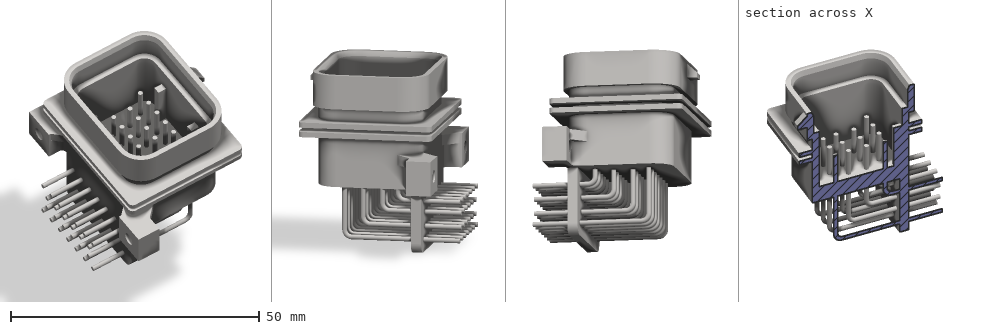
import cadquery as cq


shroud_x = 29.0
shroud_y = 23.8
shroud_radius = 5.45
shroud_top = 23.03
shroud_bottom = 16.1

housing_inset = 1.2

mouth_inset = 1.05
mouth_chamfer_width = 0.47
mouth_chamfer_depth = 1.05
ledge_z = 17.65
cavity_inset = 2.75
cavity_floor_z = 3.8

flange_x = 32.43
flange_y = 27.3
flange_radius = 1.05
flange_thickness = 1.05
flange_bottoms = (10.5, 12.45)

latch_width = 3.12
latch_tip_y = 13.95
latch_bottom = 19.47
latch_tip_top = 20.5
latch_root_top = 22.35

keys = ((-5.92, 1.5, 1), (5.92, 1.5, 1), (0, 1.65, -1))
key_inner_y = 7.3
key_top = 13.35

ear_outer_x = 19.75
ear_inner_x = 12.65
ear_front_y = -14.25
ear_back_y = -9.25
ear_height = 7.05
ear_front_fillet = 1.0
ear_back_fillet = 1.58
ear_hole_diameter = 2.6
ear_hole_z = ear_height / 2
gusset_leg = 3.0
gusset_height = 2.1

plate_width = 23.03
plate_thickness = 2.15
plate_bottom = -13.45
plate_radius = 2.05

pin_diameter = 1.0
pin_pitch = 3.0
outer_pin_top = 10.55
inner_pin_top = 9.55
pin_end_y = -18.2
pin_bend_radius = 1.5
pin_rows = (
    (-5.5, -3.0, outer_pin_top, 7),
    (-1.98, -5.5, inner_pin_top, 6),
    (1.98, -8.4, inner_pin_top, 6),
    (5.5, -10.9, outer_pin_top, 7),
)

root_depth = 0.4

housing_half_x = shroud_x / 2 - housing_inset
housing_front_y = -(shroud_y / 2 - housing_inset)
cavity_half_y = shroud_y / 2 - cavity_inset


def block(x_range, y_range, z_range):
    """Box given by its limits along each axis."""
    size = [high - low for low, high in (x_range, y_range, z_range)]
    corner = (x_range[0], y_range[0], z_range[0])
    return cq.Workplane("XY").box(*size, centered=False).translate(corner)


def rounded_block(size_x, size_y, radius, bottom, top):
    """Centred block with rounded vertical edges."""
    solid = cq.Workplane("XY").workplane(offset=bottom).rect(size_x, size_y).extrude(top - bottom)
    return solid.edges("|Z").fillet(radius)


def shroud_offset_block(inset, bottom, top):
    """Block following the shroud outline, moved inwards by inset."""
    return rounded_block(
        shroud_x - 2 * inset, shroud_y - 2 * inset, shroud_radius - inset, bottom, top
    )


def make_cavity():
    throat_inset = mouth_inset + mouth_chamfer_width
    throat_top = shroud_top - mouth_chamfer_depth
    well = shroud_offset_block(cavity_inset, cavity_floor_z, ledge_z)
    throat = shroud_offset_block(throat_inset, ledge_z, throat_top)
    mouth = (
        throat.faces(">Z")
        .wires()
        .toPending()
        .workplane(offset=mouth_chamfer_depth)
        .add(shroud_offset_block(mouth_inset, throat_top, shroud_top).faces(">Z").wires())
        .toPending()
        .loft(ruled=True, combine=False)
    )
    return well.union(throat).union(mouth)


def make_latch():
    wall_y = shroud_y / 2
    root_y = wall_y - root_depth
    return (
        cq.Workplane("YZ")
        .polyline(
            [
                (root_y, latch_bottom),
                (latch_tip_y, latch_bottom),
                (latch_tip_y, latch_tip_top),
                (wall_y, latch_root_top),
                (root_y, latch_root_top),
            ]
        )
        .close()
        .extrude(latch_width / 2, both=True)
    )


def make_key(center_x, width, side):
    y_range = sorted((side * key_inner_y, side * (cavity_half_y + root_depth)))
    x_range = (center_x - width / 2, center_x + width / 2)
    return block(x_range, y_range, (cavity_floor_z - root_depth, key_top))


def make_ear():
    """Ear on the +X side: drilled block, blended into the housing and braced by a gusset at its top."""
    outline = (
        cq.Workplane("XY")
        .moveTo(ear_inner_x - ear_front_fillet, housing_front_y)
        .radiusArc((ear_inner_x, housing_front_y - ear_front_fillet), ear_front_fillet)
        .lineTo(ear_inner_x, ear_front_y)
        .lineTo(ear_outer_x, ear_front_y)
        .lineTo(ear_outer_x, ear_back_y)
        .lineTo(housing_half_x + ear_back_fillet, ear_back_y)
        .radiusArc((housing_half_x, ear_back_y + ear_back_fillet), ear_back_fillet)
        .lineTo(ear_inner_x - ear_front_fillet, ear_back_y + ear_back_fillet)
        .close()
    )
    gusset = (
        cq.Workplane("XY", origin=(0, 0, ear_height - gusset_height))
        .polyline(
            [
                (ear_inner_x - gusset_leg, housing_front_y),
                (ear_inner_x, housing_front_y - gusset_leg),
                (housing_half_x + gusset_leg, ear_back_y),
                (housing_half_x, ear_back_y + gusset_leg),
            ]
        )
        .close()
        .extrude(gusset_height)
    )
    hole = (
        cq.Workplane("XZ", origin=((ear_inner_x + ear_outer_x) / 2, ear_back_y, ear_hole_z))
        .circle(ear_hole_diameter / 2)
        .extrude(ear_back_y - ear_front_y)
    )
    return outline.extrude(ear_height).union(gusset).cut(hole)


def make_pin(x, row_y, row_z, top):
    path = (
        cq.Workplane("YZ", origin=(x, 0, 0))
        .moveTo(row_y, top)
        .lineTo(row_y, row_z + pin_bend_radius)
        .radiusArc((row_y - pin_bend_radius, row_z), pin_bend_radius)
        .lineTo(pin_end_y, row_z)
    )
    profile = cq.Workplane("XY", origin=(x, row_y, top)).circle(pin_diameter / 2)
    return profile.sweep(path)


body = shroud_offset_block(housing_inset, 0, shroud_bottom)
body = body.union(
    block((-housing_half_x, housing_half_x), (housing_front_y, 0), (0, ear_height))
)
body = body.union(shroud_offset_block(0, shroud_bottom, shroud_top))
for flange_bottom in flange_bottoms:
    flange_top = flange_bottom + flange_thickness
    body = body.union(rounded_block(flange_x, flange_y, flange_radius, flange_bottom, flange_top))

body = body.union(make_latch())

ear = make_ear()
body = body.union(ear).union(ear.mirror("YZ"))

guide_plate = block(
    (-plate_width / 2, plate_width / 2),
    (housing_front_y, housing_front_y + plate_thickness),
    (plate_bottom, ear_height),
)
body = body.union(guide_plate.edges("|Y and <Z").fillet(plate_radius))

body = body.cut(make_cavity())

for center_x, width, side in keys:
    body = body.union(make_key(center_x, width, side))

for row_y, row_z, top, count in pin_rows:
    for index in range(count):
        pin_x = (index - (count - 1) / 2) * pin_pitch
        body = body.union(make_pin(pin_x, row_y, row_z, top))

result = body